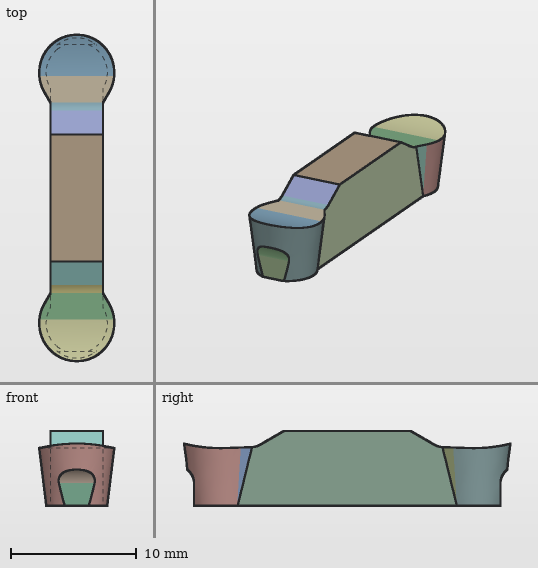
import cadquery as cq
import math

overall_length = 25.99
height = 5.97
body_width = 4.2

head_radius = 3.0
rim_height = 4.62
side_clearance = 7.0
neck_half_angle = 30.0

land_length = 10.1
ramp_angle = 30.0
ramp_fillet_radius = 1.35
floor_angle = 2.0
rake_length = 3.32
rake_end_angle = 14.0

relief_setback = 0.8
relief_flat_height = 1.79
relief_radius = 1.4

overshoot = 0.5
cut_half_width = head_radius + overshoot

tip_y = overall_length / 2
clearance_slope = math.tan(math.radians(side_clearance))
rake_sine_span = math.sin(math.radians(rake_end_angle)) + math.sin(math.radians(floor_angle))
rake_radius = rake_length / rake_sine_span
rake_start_y = tip_y - rake_length
rake_center_y = rake_start_y + rake_radius * math.sin(math.radians(floor_angle))
rake_center_z = rim_height + rake_radius * math.cos(math.radians(floor_angle))
tip_height = rake_center_z - rake_radius * math.cos(math.radians(rake_end_angle))
head_center_y = tip_y - head_radius - (tip_height - rim_height) * clearance_slope


def rake_point(y):
    """Point (y, z) on the curved rake face."""
    return y, rake_center_z - math.sqrt(rake_radius**2 - (y - rake_center_y) ** 2)


def head_radius_at(z):
    """Radius of the drafted head at height z."""
    return head_radius + (z - rim_height) * clearance_slope


def head_outline(z):
    """Teardrop at height z: a round tip with tangent walls meeting on the Y axis."""
    radius = head_radius_at(z)
    tangent_x = radius * math.cos(math.radians(neck_half_angle))
    tangent_y = -radius * math.sin(math.radians(neck_half_angle))
    apex_y = -radius / math.sin(math.radians(neck_half_angle))
    return (
        cq.Workplane("XY", origin=(0, head_center_y, z))
        .moveTo(0, apex_y)
        .lineTo(tangent_x, tangent_y)
        .threePointArc((0, radius), (-tangent_x, tangent_y))
        .close()
        .wires()
        .val()
    )


def make_head():
    """Drafted head at the +Y end, wider at the top."""
    return cq.Workplane(cq.Solid.makeLoft([head_outline(0), head_outline(height)], True))


def make_body():
    """Straight bar that joins the two heads."""
    return cq.Workplane("XY").box(body_width, 2 * head_center_y, height, centered=(True, True, False))


def make_top_cut():
    """Material above the ramp, floor and rake face at the +Y end."""
    ramp_slope = math.tan(math.radians(ramp_angle))
    floor_slope = math.tan(math.radians(floor_angle))
    land_y = land_length / 2
    ramp_foot_y = (height - rim_height + ramp_slope * land_y - floor_slope * rake_start_y) / (
        ramp_slope - floor_slope
    )
    ramp_foot_z = height - ramp_slope * (ramp_foot_y - land_y)

    reach = ramp_fillet_radius * math.tan(math.radians(ramp_angle - floor_angle) / 2)
    ramp_direction = (math.cos(math.radians(ramp_angle)), -math.sin(math.radians(ramp_angle)))
    floor_direction = (math.cos(math.radians(floor_angle)), -math.sin(math.radians(floor_angle)))
    fillet_start = (ramp_foot_y - reach * ramp_direction[0], ramp_foot_z - reach * ramp_direction[1])
    fillet_end = (ramp_foot_y + reach * floor_direction[0], ramp_foot_z + reach * floor_direction[1])

    end_y = tip_y + overshoot
    return (
        cq.Workplane("YZ")
        .moveTo(land_y, height)
        .lineTo(*fillet_start)
        .tangentArcPoint(fillet_end, relative=False)
        .lineTo(rake_start_y, rim_height)
        .threePointArc(rake_point((rake_start_y + end_y) / 2), rake_point(end_y))
        .lineTo(end_y, height + overshoot)
        .lineTo(land_y, height + overshoot)
        .close()
        .extrude(cut_half_width, both=True)
    )


def make_relief_cut():
    """Upright flat with a concave run-out, under the +Y tip."""
    flat_y = tip_y - relief_setback
    end_y = flat_y + relief_radius
    half_chord = relief_radius * math.sin(math.radians(45))
    arc_middle = (end_y - half_chord, relief_flat_height + half_chord)
    return (
        cq.Workplane("YZ")
        .moveTo(flat_y, -overshoot)
        .lineTo(flat_y, relief_flat_height)
        .threePointArc(arc_middle, (end_y, relief_flat_height + relief_radius))
        .lineTo(end_y, -overshoot)
        .close()
        .extrude(cut_half_width, both=True)
    )


def at_both_ends(shape):
    """The +Y shape together with its mirror image at the -Y end."""
    return shape, shape.mirror("XZ")


result = make_body()
for head in at_both_ends(make_head()):
    result = result.union(head)
for top_cut in at_both_ends(make_top_cut()):
    result = result.cut(top_cut)
for relief_cut in at_both_ends(make_relief_cut()):
    result = result.cut(relief_cut)